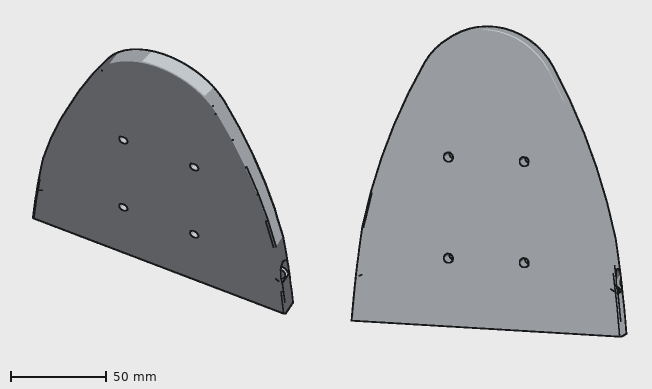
import cadquery as cq
import math

height = 160.0
base_width = 148.5
thickness = 10.0
edge_fillet = 1.0

waist_half_width = 68.3
waist_height = 50.4
shoulder_half_width = 34.0
shoulder_height = 140.3
lower_bulge = 0.5
upper_bulge = 3.7

mount_diameter = 5.0
mount_spacing = 41.6
mount_heights = (36.5, 90.5)

screw_diameter = 5.0
counterbore_diameter = 9.0
screw_tilt = 31.0
seat_half_spacing = 69.3
seat_height = 24.5
cutter_length = 48.0


def bulged_midpoint(start, end, bulge):
    """Middle of an arc that bulges to the right of the line from start to end."""
    run = end[0] - start[0]
    rise = end[1] - start[1]
    chord = math.hypot(run, rise)
    middle_x = (start[0] + end[0]) / 2 + bulge * rise / chord
    middle_z = (start[1] + end[1]) / 2 - bulge * run / chord
    return (middle_x, middle_z)


def mirrored(point):
    return (-point[0], point[1])


def make_plate():
    corner = (base_width / 2, 0)
    waist = (waist_half_width, waist_height)
    shoulder = (shoulder_half_width, shoulder_height)
    lower_middle = bulged_midpoint(corner, waist, lower_bulge)
    upper_middle = bulged_midpoint(waist, shoulder, upper_bulge)
    plate = (
        cq.Workplane("XZ")
        .moveTo(*mirrored(corner))
        .lineTo(*corner)
        .threePointArc(lower_middle, waist)
        .threePointArc(upper_middle, shoulder)
        .threePointArc((0, height), mirrored(shoulder))
        .threePointArc(mirrored(upper_middle), mirrored(waist))
        .threePointArc(mirrored(lower_middle), mirrored(corner))
        .close()
        .extrude(thickness / 2, both=True)
    )
    return plate.faces("<Y or >Y").edges("not(<Z)").fillet(edge_fillet)


def mount_holes():
    centres = [(side * mount_spacing / 2, z) for side in (-1, 1) for z in mount_heights]
    return (
        cq.Workplane("XZ")
        .pushPoints(centres)
        .circle(mount_diameter / 2)
        .extrude(thickness, both=True)
    )


def screw_hole(side):
    """Counterbore up to the side edge and a smaller hole down through the base."""
    tilt = math.radians(screw_tilt)
    outward = cq.Vector(side * math.sin(tilt), 0, math.cos(tilt))
    seat = cq.Vector(side * seat_half_spacing, 0, seat_height)
    counterbore = cq.Solid.makeCylinder(counterbore_diameter / 2, cutter_length, seat, outward)
    shank = cq.Solid.makeCylinder(screw_diameter / 2, cutter_length, seat, -outward)
    return counterbore.fuse(shank)


result = make_plate().cut(mount_holes())
for side in (-1, 1):
    result = result.cut(cq.Workplane(obj=screw_hole(side)))